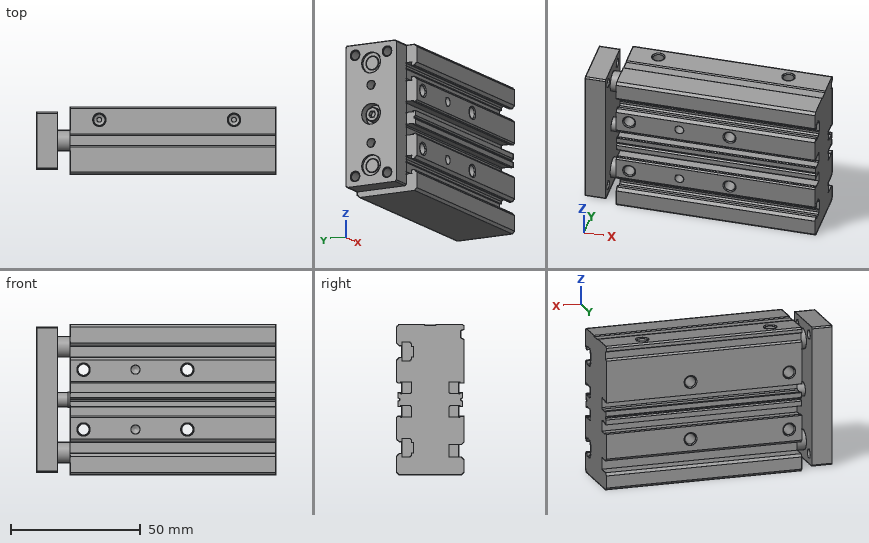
import cadquery as cq
import math

OVERALL_LENGTH = 92.0
HOUSING_FRONT = 12.9
HOUSING_DEPTH = 26.0
HOUSING_HEIGHT = 58.0
HALF_DEPTH = HOUSING_DEPTH / 2
HALF_HEIGHT = HOUSING_HEIGHT / 2

CORNER_CHAMFER = 1.0
PORT_CORNER_CHAMFER = 0.6
TOP_GROOVE_HALF_WIDTH = 2.5
TOP_GROOVE_FLOOR_HALF_WIDTH = 1.9
TOP_GROOVE_DEPTH = 0.4

SIDE_SLOT_Z = 18.5
SIDE_SLOT_OPENING = 4.4
SIDE_SLOT_CAVITY = 7.2
SIDE_SLOT_LIP_DEPTH = 2.2
SIDE_SLOT_DEPTH = 5.8
SIDE_SLOT_CORNER = 0.6
SIDE_SLOT_POCKET_WIDTH = 4.05
SIDE_SLOT_POCKET_DEPTH = 6.5
SIDE_SLOT_CHAMFER = 1.1

CENTRE_SLOT_INNER_Z = 2.7
CENTRE_SLOT_OUTER_Z = 6.35
CENTRE_SLOT_UNDERCUT = 0.4
CENTRE_SLOT_LIP_DEPTH = 1.7
CENTRE_SLOT_DEPTH = 5.8
CENTRE_SLOT_CORNER = 0.5
CENTRE_SLOT_CHAMFER = 0.55
RIB_SETBACK = 0.55
RIB_GROOVE_HALF_WIDTH = 0.7
RIB_GROOVE_FLOOR_HALF_WIDTH = 0.23
RIB_GROOVE_DEPTH = 0.6

BACK_GROOVE_TOP = 27.05
BACK_GROOVE_BOTTOM = 23.2
BACK_GROOVE_DEPTH = 1.2
BACK_GROOVE_TAPER = 0.55
BACK_SLOT_Z = -19.7
BACK_SLOT_OPENING = 4.8

HOLE_Z = 11.5
MOUNT_HOLE_X = (18.0, 58.0)
MOUNT_HOLE_DIAMETER = 4.3
MOUNT_HOLE_MOUTH = 5.15
PIN_HOLE_X = 38.0
PIN_HOLE_DIAMETER = 3.5
PIN_HOLE_DEPTH = 5.0
PORT_X = (24.1, 75.9)
PORT_Y = 8.0
PORT_DIAMETER = 4.3
PORT_MOUTH = 5.15
PORT_DEPTH = 5.5
PORT_BORE_DIAMETER = 1.8
PORT_BORE_DEPTH = 11.0
DRILL_POINT_ANGLE = 118.0

PLATE_THICKNESS = 8.1
PLATE_WIDTH = 22.1
PLATE_HEIGHT = 56.0
PLATE_CHAMFER = 0.55
PLATE_HOLE_Y = 7.0
PLATE_HOLE_Z = 24.0
PLATE_HOLE_DIAMETER = 3.5
PLATE_HOLE_MOUTH = 4.1
ROD_RECESS_DIAMETER = 8.2
GUIDE_RECESS_DEPTH = 1.0
PISTON_RECESS_DEPTH = 3.7

GUIDE_ROD_Z = 20.3
GUIDE_ROD_DIAMETER = 8.0
ROD_END_DIAMETER = 5.5
ROD_END_CHAMFER = 0.2
PISTON_ROD_DIAMETER = 6.0
PISTON_SHOULDER_X = 12.05
PISTON_FACE_X = 0.8
HEX_ACROSS_FLATS = 2.5
HEX_DEPTH = 1.8
ROD_INNER_END = 64.4

X_AXIS = cq.Vector(1, 0, 0)
Y_AXIS = cq.Vector(0, 1, 0)
DOWN = cq.Vector(0, 0, -1)


def extrude_profile(points, x_start, x_end):
    """Extrude a closed outline of (y, z) points along X."""
    plane = cq.Workplane("YZ", origin=(x_start, 0, 0))
    return plane.polyline(points).close().extrude(x_end - x_start)


def cylinder(diameter, start, direction, length):
    return cq.Workplane(cq.Solid.makeCylinder(diameter / 2, length, start, direction))


def mouth_chamfer(mouth, diameter, start, direction):
    """45 degree cone that opens a hole from its diameter to its mouth."""
    depth = (mouth - diameter) / 2
    return cq.Workplane(cq.Solid.makeCone(mouth / 2, diameter / 2, depth, start, direction))


def drilled_hole(diameter, depth, start, direction):
    """Blind hole with a conical drill point below its full-diameter depth."""
    point_height = diameter / 2 / math.tan(math.radians(DRILL_POINT_ANGLE / 2))
    floor = start + direction * depth
    point = cq.Workplane(cq.Solid.makeCone(diameter / 2, 0, point_height, floor, direction))
    return cylinder(diameter, start, direction, depth).union(point)


def on_face(profile, face):
    """Turn (depth, z) points into (y, z) points on the face at y = face * HALF_DEPTH."""
    return [(face * (HALF_DEPTH - depth), z) for depth, z in profile]


def slot_cut(profile, face):
    return extrude_profile(on_face(profile, face), HOUSING_FRONT, OVERALL_LENGTH)


def side_slot(side):
    """T-slot on the front face, above (side = 1) or below (side = -1) the middle."""
    lip = SIDE_SLOT_OPENING / 2
    cavity = SIDE_SLOT_CAVITY / 2
    pocket = SIDE_SLOT_POCKET_WIDTH / 2
    half = [
        (0, lip + SIDE_SLOT_CHAMFER),
        (SIDE_SLOT_CHAMFER, lip),
        (SIDE_SLOT_LIP_DEPTH, lip),
        (SIDE_SLOT_LIP_DEPTH, cavity),
        (SIDE_SLOT_DEPTH - SIDE_SLOT_CORNER, cavity),
        (SIDE_SLOT_DEPTH, cavity - SIDE_SLOT_CORNER),
        (SIDE_SLOT_DEPTH, pocket),
        (SIDE_SLOT_POCKET_DEPTH, pocket),
    ]
    mirrored_half = [(depth, -offset) for depth, offset in reversed(half)]
    centre_z = side * SIDE_SLOT_Z
    return slot_cut([(depth, centre_z + offset) for depth, offset in half + mirrored_half], -1)


def centre_slot(face, side):
    """Undercut slot between the rib and the land; the land is chamfered on the front face only."""
    chamfer = CENTRE_SLOT_CHAMFER if face < 0 else 0
    cavity_outer = CENTRE_SLOT_OUTER_Z + CENTRE_SLOT_UNDERCUT
    cavity_inner = CENTRE_SLOT_INNER_Z - CENTRE_SLOT_UNDERCUT
    profile = [
        (0, CENTRE_SLOT_INNER_Z),
        (CENTRE_SLOT_LIP_DEPTH, CENTRE_SLOT_INNER_Z),
        (CENTRE_SLOT_LIP_DEPTH, cavity_inner),
        (CENTRE_SLOT_DEPTH - CENTRE_SLOT_CORNER, cavity_inner),
        (CENTRE_SLOT_DEPTH, cavity_inner + CENTRE_SLOT_CORNER),
        (CENTRE_SLOT_DEPTH, cavity_outer),
        (CENTRE_SLOT_LIP_DEPTH, cavity_outer),
        (CENTRE_SLOT_LIP_DEPTH, CENTRE_SLOT_OUTER_Z),
        (chamfer, CENTRE_SLOT_OUTER_Z),
    ]
    if chamfer:
        profile.append((0, CENTRE_SLOT_OUTER_Z + chamfer))
    return slot_cut([(depth, side * z) for depth, z in profile], face)


def rib_cut(face):
    """Set the central rib back from the face and cut a tapered groove along it."""
    profile = [
        (0, CENTRE_SLOT_INNER_Z),
        (RIB_SETBACK, CENTRE_SLOT_INNER_Z),
        (RIB_SETBACK, RIB_GROOVE_HALF_WIDTH),
        (RIB_SETBACK + RIB_GROOVE_DEPTH, RIB_GROOVE_FLOOR_HALF_WIDTH),
        (RIB_SETBACK + RIB_GROOVE_DEPTH, -RIB_GROOVE_FLOOR_HALF_WIDTH),
        (RIB_SETBACK, -RIB_GROOVE_HALF_WIDTH),
        (RIB_SETBACK, -CENTRE_SLOT_INNER_Z),
        (0, -CENTRE_SLOT_INNER_Z),
    ]
    return slot_cut(profile, face)


def back_groove():
    profile = [
        (0, BACK_GROOVE_TOP),
        (BACK_GROOVE_DEPTH, BACK_GROOVE_TOP - BACK_GROOVE_TAPER),
        (BACK_GROOVE_DEPTH, BACK_GROOVE_BOTTOM + BACK_GROOVE_TAPER),
        (0, BACK_GROOVE_BOTTOM),
    ]
    return slot_cut(profile, 1)


def back_slot():
    """Plain slot with chamfered mouth on the back face."""
    half = BACK_SLOT_OPENING / 2
    mouth = half + CORNER_CHAMFER
    profile = [
        (0, BACK_SLOT_Z + mouth),
        (CORNER_CHAMFER, BACK_SLOT_Z + half),
        (SIDE_SLOT_DEPTH, BACK_SLOT_Z + half),
        (SIDE_SLOT_DEPTH, BACK_SLOT_Z - half),
        (CORNER_CHAMFER, BACK_SLOT_Z - half),
        (0, BACK_SLOT_Z - mouth),
    ]
    return slot_cut(profile, 1)


def housing_block():
    outline = [
        (-HALF_DEPTH + CORNER_CHAMFER, -HALF_HEIGHT),
        (HALF_DEPTH - CORNER_CHAMFER, -HALF_HEIGHT),
        (HALF_DEPTH, -HALF_HEIGHT + CORNER_CHAMFER),
        (HALF_DEPTH, HALF_HEIGHT - PORT_CORNER_CHAMFER),
        (HALF_DEPTH - PORT_CORNER_CHAMFER, HALF_HEIGHT),
        (TOP_GROOVE_HALF_WIDTH, HALF_HEIGHT),
        (TOP_GROOVE_FLOOR_HALF_WIDTH, HALF_HEIGHT - TOP_GROOVE_DEPTH),
        (-TOP_GROOVE_FLOOR_HALF_WIDTH, HALF_HEIGHT - TOP_GROOVE_DEPTH),
        (-TOP_GROOVE_HALF_WIDTH, HALF_HEIGHT),
        (-HALF_DEPTH + CORNER_CHAMFER, HALF_HEIGHT),
        (-HALF_DEPTH, HALF_HEIGHT - CORNER_CHAMFER),
        (-HALF_DEPTH, -HALF_HEIGHT + CORNER_CHAMFER),
    ]
    return extrude_profile(outline, HOUSING_FRONT, OVERALL_LENGTH)


def mount_hole(x, z):
    """Through hole along Y with a chamfered mouth on both faces."""
    front = cq.Vector(x, -HALF_DEPTH, z)
    back = cq.Vector(x, HALF_DEPTH, z)
    hole = cylinder(MOUNT_HOLE_DIAMETER, front, Y_AXIS, HOUSING_DEPTH)
    hole = hole.union(mouth_chamfer(MOUNT_HOLE_MOUTH, MOUNT_HOLE_DIAMETER, front, Y_AXIS))
    return hole.union(mouth_chamfer(MOUNT_HOLE_MOUTH, MOUNT_HOLE_DIAMETER, back, -Y_AXIS))


def port(x):
    """Air port in the top face: chamfer, drilled hole and a narrow bore below it."""
    start = cq.Vector(x, PORT_Y, HALF_HEIGHT)
    hole = drilled_hole(PORT_DIAMETER, PORT_DEPTH, start, DOWN)
    hole = hole.union(mouth_chamfer(PORT_MOUTH, PORT_DIAMETER, start, DOWN))
    return hole.union(cylinder(PORT_BORE_DIAMETER, start, DOWN, PORT_BORE_DEPTH))


def make_housing():
    housing = housing_block()
    for side in (1, -1):
        housing = housing.cut(side_slot(side))
    for face in (-1, 1):
        housing = housing.cut(rib_cut(face))
        for side in (1, -1):
            housing = housing.cut(centre_slot(face, side))
    housing = housing.cut(back_groove()).cut(back_slot())

    for z in (HOLE_Z, -HOLE_Z):
        for x in MOUNT_HOLE_X:
            housing = housing.cut(mount_hole(x, z))
        pin_start = cq.Vector(PIN_HOLE_X, -HALF_DEPTH, z)
        housing = housing.cut(drilled_hole(PIN_HOLE_DIAMETER, PIN_HOLE_DEPTH, pin_start, Y_AXIS))
    for x in PORT_X:
        housing = housing.cut(port(x))

    bore_depth = ROD_INNER_END - HOUSING_FRONT
    for z in (GUIDE_ROD_Z, -GUIDE_ROD_Z):
        bore_start = cq.Vector(HOUSING_FRONT, 0, z)
        housing = housing.cut(cylinder(GUIDE_ROD_DIAMETER, bore_start, X_AXIS, bore_depth))
    piston_bore_start = cq.Vector(HOUSING_FRONT, 0, 0)
    return housing.cut(cylinder(PISTON_ROD_DIAMETER, piston_bore_start, X_AXIS, bore_depth))


def plate_rod_hole(z, recess_depth):
    """Through hole for a rod end with a wider recess in the outer face."""
    start = cq.Vector(0, 0, z)
    hole = cylinder(ROD_END_DIAMETER, start, X_AXIS, PLATE_THICKNESS)
    return hole.union(cylinder(ROD_RECESS_DIAMETER, start, X_AXIS, recess_depth))


def plate_corner_hole(y, z):
    start = cq.Vector(0, y, z)
    hole = cylinder(PLATE_HOLE_DIAMETER, start, X_AXIS, PLATE_THICKNESS)
    return hole.union(mouth_chamfer(PLATE_HOLE_MOUTH, PLATE_HOLE_DIAMETER, start, X_AXIS))


def make_plate():
    plate = cq.Workplane("YZ").rect(PLATE_WIDTH, PLATE_HEIGHT).extrude(PLATE_THICKNESS)
    plate = plate.edges("|X").chamfer(PLATE_CHAMFER)
    plate = plate.cut(plate_rod_hole(0, PISTON_RECESS_DEPTH))
    for side in (1, -1):
        plate = plate.cut(plate_rod_hole(side * GUIDE_ROD_Z, GUIDE_RECESS_DEPTH))
        pin_start = cq.Vector(0, 0, side * HOLE_Z)
        plate = plate.cut(drilled_hole(PIN_HOLE_DIAMETER, PIN_HOLE_DEPTH, pin_start, X_AXIS))
        for y in (PLATE_HOLE_Y, -PLATE_HOLE_Y):
            plate = plate.cut(plate_corner_hole(y, side * PLATE_HOLE_Z))
    return plate


def stepped_rod(z, end_x, shoulder_x, diameter):
    """Rod with a narrower, chamfered end that passes through the plate."""
    end_start = cq.Vector(end_x, 0, z)
    end = cylinder(ROD_END_DIAMETER, end_start, X_AXIS, shoulder_x - end_x)
    end = end.faces("<X").chamfer(ROD_END_CHAMFER)
    body_start = cq.Vector(shoulder_x, 0, z)
    return end.union(cylinder(diameter, body_start, X_AXIS, ROD_INNER_END - shoulder_x))


def make_guide_rod(z):
    return stepped_rod(z, GUIDE_RECESS_DEPTH, PLATE_THICKNESS, GUIDE_ROD_DIAMETER)


def make_piston_rod():
    rod = stepped_rod(0, PISTON_FACE_X, PISTON_SHOULDER_X, PISTON_ROD_DIAMETER)
    across_corners = HEX_ACROSS_FLATS / math.cos(math.radians(30))
    socket_plane = cq.Workplane("YZ", origin=(PISTON_FACE_X, 0, 0))
    socket = socket_plane.polygon(6, across_corners).extrude(HEX_DEPTH)
    return rod.cut(socket)


housing = make_housing()
plate = make_plate()
guide_rods = [make_guide_rod(z) for z in (GUIDE_ROD_Z, -GUIDE_ROD_Z)]
piston_rod = make_piston_rod()

result = cq.Compound.makeCompound(
    [housing.val(), plate.val(), *[rod.val() for rod in guide_rods], piston_rod.val()]
)